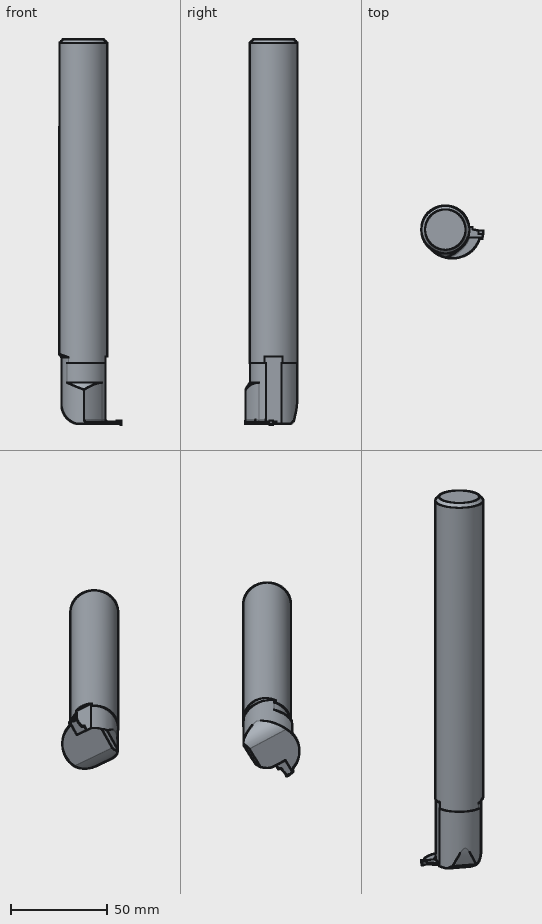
import cadquery as cq
import math

total_length = 200.0
shank_radius = 25.0 / 2
top_chamfer = 2.0

neck_radius = 12.3
neck_top = 32.0
holder_bottom = 0.5
flat_x = 11.5
flat_top = 35.5

head_radius = 15.0
head_center_x = 3.5
head_trim_top = 35.0
shoulder_top = 21.8
shoulder_drop = 8.0
slope = 0.65
wall_corner_x = 0.3
wall_join_x = 9.5

blade_top = 1.5
blade_side_y = -4.2
wall_fillet = 1.0

side_relief_height = 10.0
side_relief_middle = (-9.2, 4.2)
side_relief_end_x = -3.2
back_relief_height = 12.0
back_relief_middle = (11.5, 6.5)
back_foot_y = 10.5
back_chamfer = 1.8

tip_x = 19.7
tip_back_x = 17.2
tip_bottom_x = 19.2
tip_top = 2.2
tip_back_y = -0.5
tip_front_y = -2.2
insert_front_x = 19.2
insert_front_y = -4.8
insert_front_start_x = 18.5
root_end_x = 14.2
root_back_y = 1.5
insert_back_y = 0.2

reach = 40.0


def disc(radius, bottom, top, center_x=0.0):
    return cq.Workplane("XY", origin=(center_x, 0, bottom)).circle(radius).extrude(top - bottom)


def circle_y(radius, x):
    """Y of the point on the -Y half of a circle about the origin."""
    return -math.sqrt(radius**2 - x**2)


def cone(radius_bottom, radius_top, bottom, height, center_x=0.0):
    solid = cq.Solid.makeCone(radius_bottom, radius_top, height, cq.Vector(center_x, 0, bottom))
    return cq.Workplane(obj=solid)


def make_bar():
    shank = disc(shank_radius, neck_top, total_length).faces(">Z").chamfer(top_chamfer)
    neck = disc(neck_radius, holder_bottom, neck_top)
    return shank.union(neck)


def head_trim():
    """Space outside the head circle, closed at the top by a sloping shoulder."""
    trim_height = 4.0
    outer = cq.Workplane("XY").rect(2 * reach, 2 * reach).extrude(head_trim_top + trim_height)
    inside = disc(head_radius, 0, head_trim_top, head_center_x)
    shoulder = cone(
        head_radius, head_radius + trim_height * slope, head_trim_top, trim_height, head_center_x
    )
    left_half = cq.Workplane("XY").box(reach, 2 * reach, reach, centered=(False, True, False))
    return outer.cut(inside).cut(shoulder).intersect(left_half.translate((-reach, 0, 0)))


def wall_arc_middle(corner, join):
    """Middle of the arc from the corner that is tangent to the neck circle at the join."""
    chord = cq.Vector(*corner) - cq.Vector(*join)
    normal = cq.Vector(*join).normalized()
    radius = -chord.dot(chord) / (2 * chord.dot(normal))
    center = cq.Vector(*join) - normal * radius
    toward_middle = (cq.Vector(*corner) + cq.Vector(*join)) * 0.5 - center
    return (center + toward_middle.normalized() * radius).toTuple()[:2]


def head_bulge():
    """Part of the head circle on the -Y side, under a conical shoulder."""
    corner_y = circle_y(head_radius, wall_corner_x - head_center_x)
    wall_end = (wall_join_x, circle_y(neck_radius, wall_join_x))
    outline = (
        cq.Workplane("XY", origin=(0, 0, holder_bottom))
        .moveTo(wall_corner_x, corner_y)
        .threePointArc(wall_arc_middle((wall_corner_x, corner_y), wall_end), wall_end)
        .lineTo(0, 0)
        .lineTo(-reach, 0)
        .lineTo(-reach, corner_y)
        .close()
        .extrude(shoulder_top - holder_bottom)
    )
    shoulder_bottom = shoulder_top - shoulder_drop
    widest = neck_radius + shoulder_drop * slope
    envelope = disc(widest, 0, shoulder_bottom).union(
        cone(widest, neck_radius, shoulder_bottom, shoulder_drop)
    )
    head_circle = disc(head_radius, 0, shoulder_top, head_center_x)
    return outline.intersect(envelope).intersect(head_circle)


def blade():
    plate = disc(head_radius, holder_bottom, blade_top, head_center_x)
    kept = cq.Workplane("XY").box(reach, reach, blade_top, centered=False)
    return plate.intersect(kept.translate((wall_corner_x, blade_side_y - reach, 0)))


def side_relief():
    return (
        cq.Workplane("XZ", origin=(0, reach, 0))
        .moveTo(head_center_x - head_radius, side_relief_height)
        .threePointArc(side_relief_middle, (side_relief_end_x, holder_bottom))
        .lineTo(-reach, holder_bottom)
        .lineTo(-reach, side_relief_height)
        .close()
        .extrude(2 * reach)
    )


def back_relief():
    return (
        cq.Workplane("YZ", origin=(-reach, 0, 0))
        .moveTo(neck_radius, back_relief_height)
        .threePointArc(back_relief_middle, (back_foot_y, holder_bottom + back_chamfer))
        .lineTo(back_foot_y - back_chamfer, holder_bottom)
        .lineTo(reach, holder_bottom)
        .lineTo(reach, back_relief_height)
        .close()
        .extrude(2 * reach)
    )


def make_holder():
    body = make_bar().cut(head_trim()).union(head_bulge()).union(blade())
    flat = cq.Workplane("XY").box(reach, reach, flat_top - blade_top, centered=False)
    body = body.cut(flat.translate((flat_x, -reach / 2, blade_top)))
    insert_seat = cq.Workplane("XY").box(reach, reach, blade_top, centered=False)
    body = body.cut(insert_seat.translate((flat_x, blade_side_y, 0)))
    wall_foot = cq.selectors.BoxSelector(
        (wall_corner_x, -head_radius, blade_top - 0.2),
        (flat_x - 0.2, blade_side_y, blade_top + 0.2),
    )
    body = body.edges(wall_foot).edges("not %LINE").edges("<X").fillet(wall_fillet)
    return body.cut(side_relief()).cut(back_relief())


def make_insert():
    body = (
        cq.Workplane("XY", origin=(0, 0, holder_bottom))
        .polyline([
            (flat_x, root_back_y),
            (root_end_x, root_back_y),
            (root_end_x, insert_back_y),
            (tip_back_x, tip_back_y),
            (tip_x, tip_back_y),
            (tip_x, tip_front_y),
            (insert_front_x, insert_front_y),
            (insert_front_start_x, insert_front_y),
            (insert_front_start_x, blade_side_y),
            (flat_x, blade_side_y),
        ])
        .close()
        .extrude(blade_top - holder_bottom)
    )
    tip = (
        cq.Workplane("XZ", origin=(0, tip_back_y, 0))
        .polyline([
            (tip_back_x, tip_top),
            (tip_back_x, holder_bottom),
            (tip_bottom_x, holder_bottom),
            (tip_bottom_x, 0),
            (tip_x, 0),
            (tip_x, tip_top),
        ])
        .close()
        .extrude(tip_back_y - tip_front_y)
    )
    return body.union(tip)


holder = make_holder()
insert = make_insert()
result = cq.Compound.makeCompound([*holder.solids().vals(), *insert.solids().vals()])